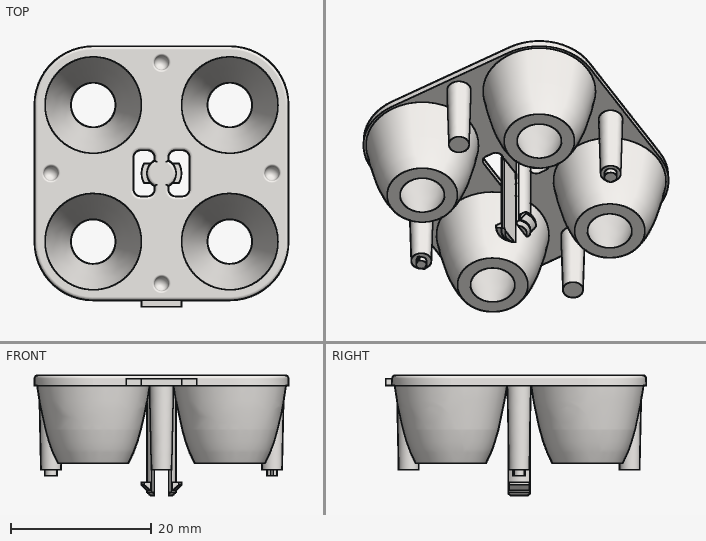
import cadquery as cq
import math

plate_width = 36.3
plate_thickness = 1.5
plate_draft_deg = 1.0
edge_round = 0.5

cup_offset = 9.75
cup_bottom = -12.57
cup_seam = -7.77
cup_floor_radius = 5.02
cup_lower_bulge = (6.03, -10.35)
cup_seam_radius = 6.8
cup_upper_bulge = (7.55, -4.45)
cup_top_radius = 8.05
cup_rim_radius = 6.9
cup_seat_radius = 6.8
cup_seat = -0.52
cup_hole_radius = 3.15

post_offset = 15.77
post_bottom = -13.5
post_top_radius = 1.7
post_bottom_radius = 1.45
dimple_radius = 1.05
dimple_round = 0.3

pin_bottom = -14.35
pin_radius = 0.9
relieved_pin_radius = 0.75
pin_land_width = 0.37

window_outer = 3.98
window_half_length = 3.27
window_corner = 1.0

clip_radius = 2.1
clip_half_gap = 1.0
clip_half_depth = 1.55
clip_tip_radius = 1.55
hook_radius = 2.85
hook_half_depth = 1.4
hook_top = -15.25
hook_lip = 0.4
clip_bottom = -17.2

pad_width = 10.05
tab_width = 5.75
overall_length = 37.2
tab_length = overall_length - plate_width

plate_bottom = -plate_thickness
half_plate = plate_width / 2
corner_radius = half_plate - cup_offset
margin = 0.2
overlap = 0.2

cup_centres = [(x, y) for x in (-cup_offset, cup_offset) for y in (-cup_offset, cup_offset)]
post_centres = [(-post_offset, 0), (post_offset, 0), (0, -post_offset), (0, post_offset)]


def revolve_about_z(profile):
    return profile.close().revolve(360, (0, 0, 0), (0, 1, 0))


def box_between(x0, x1, y0, y1, z0, z1):
    return cq.Workplane("XY").box(x1 - x0, y1 - y0, z1 - z0, centered=False).translate((x0, y0, z0))


def rod(radius, z0, z1):
    return cq.Workplane("XY").workplane(offset=z0).circle(radius).extrude(z1 - z0)


def make_plate():
    """Drafted rounded square, widest at the bottom, with a rounded top edge."""
    outline = cq.Sketch().rect(plate_width, plate_width).vertices().fillet(corner_radius)
    return (
        cq.Workplane("XY").workplane(offset=plate_bottom)
        .placeSketch(outline)
        .extrude(plate_thickness, taper=plate_draft_deg)
        .faces(">Z").edges().fillet(edge_round)
    )


def make_window():
    """Opening on the +X side of the bridge, bitten into by the round head of the clip."""
    window_width = window_outer - clip_half_gap
    window = (
        cq.Workplane("XY").workplane(offset=plate_bottom)
        .center((clip_half_gap + window_outer) / 2, 0)
        .rect(window_width, 2 * window_half_length)
        .extrude(plate_thickness)
        .edges("|Z").fillet(window_corner)
    )
    return window.cut(rod(clip_radius, plate_bottom, 0))


def make_cup():
    """Solid bulging cup body, narrowing downwards through two arcs."""
    return revolve_about_z(
        cq.Workplane("XZ")
        .moveTo(0, cup_bottom)
        .lineTo(cup_floor_radius, cup_bottom)
        .threePointArc(cup_lower_bulge, (cup_seam_radius, cup_seam))
        .threePointArc(cup_upper_bulge, (cup_top_radius, plate_bottom))
        .lineTo(cup_top_radius, plate_bottom + overlap)
        .lineTo(0, plate_bottom + overlap)
    )


def make_cup_bore():
    """Tapered rim band over a straight cone that opens through the cup's floor."""
    return revolve_about_z(
        cq.Workplane("XZ")
        .lineTo(cup_rim_radius, 0)
        .lineTo(cup_seat_radius, cup_seat)
        .lineTo(cup_hole_radius, cup_bottom)
        .lineTo(0, cup_bottom)
    )


def make_post():
    return revolve_about_z(
        cq.Workplane("XZ")
        .moveTo(0, post_bottom)
        .lineTo(post_bottom_radius, post_bottom)
        .lineTo(post_top_radius, plate_bottom)
        .lineTo(post_top_radius, plate_bottom + overlap)
        .lineTo(0, plate_bottom + overlap)
    )


def make_dimple():
    """Hemispherical recess with a rounded mouth."""
    slant = math.sqrt(0.5)
    return revolve_about_z(
        cq.Workplane("XZ")
        .lineTo(dimple_radius + dimple_round, 0)
        .threePointArc(
            (dimple_radius + dimple_round * (1 - slant), -dimple_round * (1 - slant)),
            (dimple_radius, -dimple_round),
        )
        .threePointArc(
            (dimple_radius * slant, -dimple_round - dimple_radius * slant),
            (0, -dimple_round - dimple_radius),
        )
    )


def make_relieved_pin():
    """Thin pin with narrow full-radius lands on its -Y and +Y sides."""
    half_land = pin_land_width / 2
    land = rod(pin_radius, pin_bottom, post_bottom).intersect(
        box_between(-half_land, half_land, -pin_radius, pin_radius, pin_bottom, post_bottom)
    )
    return rod(relieved_pin_radius, pin_bottom, post_bottom).union(land)


def make_clip():
    """Slotted round stem whose two legs end in outward snap hooks."""
    chamfer = clip_radius - clip_tip_radius
    stem = rod(clip_radius, clip_bottom, plate_bottom).faces("<Z").chamfer(chamfer)
    stem = stem.intersect(
        box_between(-clip_radius, clip_radius, -clip_half_depth, clip_half_depth, clip_bottom, plate_bottom)
    )
    cone_top = hook_top - hook_lip
    cone_bottom = cone_top - (hook_radius - clip_tip_radius)
    hook = revolve_about_z(
        cq.Workplane("XZ")
        .moveTo(0, hook_top)
        .lineTo(hook_radius, hook_top)
        .lineTo(hook_radius, cone_top)
        .lineTo(clip_tip_radius, cone_bottom)
        .lineTo(0, cone_bottom)
    ).intersect(
        box_between(-hook_radius, hook_radius, -hook_half_depth, hook_half_depth, clip_bottom, hook_top)
    )
    gap = box_between(
        -clip_half_gap, clip_half_gap, -clip_radius, clip_radius, clip_bottom, plate_bottom
    )
    return stem.union(hook).cut(gap)


plate = make_plate()
for turn in (0, 180):
    plate = plate.cut(make_window().rotate((0, 0, 0), (0, 0, 1), turn))
zone_x = window_outer + margin
zone_y = window_half_length + margin
window_zone = cq.selectors.BoxSelector((-zone_x, -zone_y, -margin), (zone_x, zone_y, margin))
plate = plate.edges(window_zone).fillet(edge_round)
pad = box_between(
    -pad_width / 2, pad_width / 2, -half_plate, -half_plate + edge_round, plate_bottom, -edge_round
)
tab = box_between(
    -tab_width / 2, tab_width / 2, -half_plate - tab_length, -half_plate + edge_round,
    plate_bottom, -edge_round,
)
body = plate.union(pad).union(tab)

for x, y in cup_centres:
    body = body.union(make_cup().translate((x, y, 0)))
for x, y in post_centres:
    body = body.union(make_post().translate((x, y, 0)))
body = body.union(rod(pin_radius, pin_bottom, post_bottom).translate((-post_offset, 0, 0)))
body = body.union(make_relieved_pin().translate((post_offset, 0, 0)))
body = body.union(make_clip())

for x, y in cup_centres:
    body = body.cut(make_cup_bore().translate((x, y, 0)))
for x, y in post_centres:
    body = body.cut(make_dimple().translate((x, y, 0)))

result = body